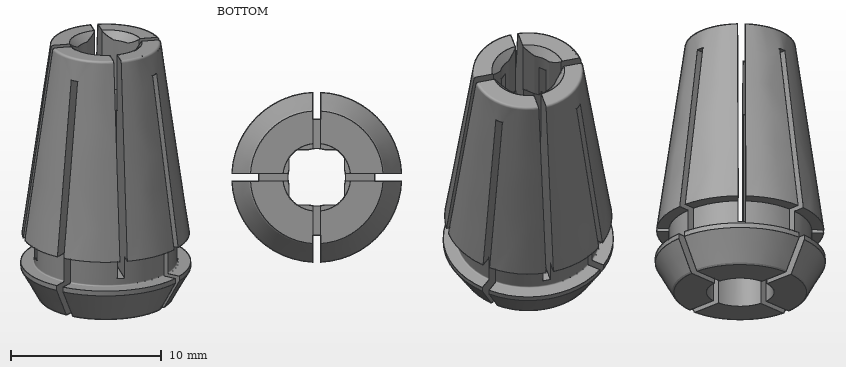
import cadquery as cq

height = 18.0

base_radius = 4.41
base_chamfer = 0.09
flange_radius = 5.65
flange_bottom = 2.15
flange_top = 2.48
neck_radius = 4.75
neck_fillet = 0.09
cone_bottom = 4.5
cone_bottom_radius = 5.56
cone_top_radius = 3.65
top_fillet = 0.18

shank_bore_radius = 2.25
square_bottom = 14.0
square_side = 3.65
square_pilot_radius = 1.9
mouth_radius = 2.41

slit_planes = 2
slit_pitch = 180 / slit_planes
slit_length = 2.2 * flange_radius
slit_width = 0.5
lower_slit_top = 16.5
upper_slit_bottom = 3.0


def make_body():
    """Revolve the solid collet: nut-end taper, flange, neck and clamping cone."""
    profile = (
        cq.Workplane("XZ")
        .lineTo(base_radius, 0)
        .lineTo(base_radius + base_chamfer, base_chamfer)
        .lineTo(flange_radius, flange_bottom)
        .lineTo(flange_radius, flange_top)
        .lineTo(neck_radius + neck_fillet, flange_top)
        .radiusArc((neck_radius, flange_top + neck_fillet), neck_fillet)
        .lineTo(neck_radius, cone_bottom)
        .lineTo(cone_bottom_radius, cone_bottom)
        .lineTo(cone_top_radius, height)
        .lineTo(0, height)
        .close()
    )
    body = profile.revolve(360, (0, 0), (0, 1))
    return body.faces(">Z").edges().fillet(top_fillet)


def make_bore():
    """Round shank bore, square drive bore with its pilot hole, and a 45 degree mouth."""
    shank_bore = cq.Workplane("XY").circle(shank_bore_radius).extrude(square_bottom)
    drive = cq.Workplane("XY").workplane(offset=square_bottom)
    drive_length = height - square_bottom
    square = drive.rect(square_side, square_side).extrude(drive_length)
    pilot = drive.circle(square_pilot_radius).extrude(drive_length)
    mouth = (
        cq.Workplane("XZ")
        .moveTo(0, height)
        .lineTo(mouth_radius, height)
        .lineTo(0, height - mouth_radius)
        .close()
        .revolve(360, (0, 0), (0, 1))
    )
    return shank_bore.union(square).union(pilot).union(mouth)


def cut_slits(body, first_angle, bottom, top):
    """Cut evenly spaced slits across the axis between two heights, starting at an angle from +X."""
    slit = (
        cq.Workplane("XY", origin=(0, 0, bottom))
        .rect(slit_length, slit_width)
        .extrude(top - bottom)
    )
    for index in range(slit_planes):
        angle = first_angle + index * slit_pitch
        body = body.cut(slit.rotate((0, 0, 0), (0, 0, 1), angle))
    return body


result = make_body().cut(make_bore())
result = cut_slits(result, 0, 0, lower_slit_top)
result = cut_slits(result, slit_pitch / 2, upper_slit_bottom, height)